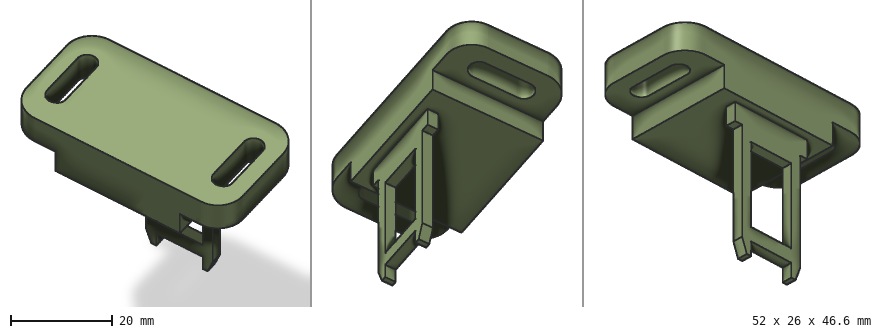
import cadquery as cq

plate_length = 52.0
plate_width = 26.0
plate_thickness = 6.65
corner_radius = 6.0

slot_length = 15.05
slot_width = 4.45
slot_offset = plate_length / 2 - corner_radius

block_length = 29.95
block_width = plate_width
block_height = 5.5

key_thickness = 2.5
key_center_y = 9.7
total_height = 46.6
shoulder_width = 19.95
shoulder_height = 4.5
key_width = 16.1
window_width = 11.15
window_height = 20.0
window_drop = 2.95
prong_length = 3.5
prong_taper = 1.3

plate_bottom = -plate_thickness
block_bottom = plate_bottom - block_height
shoulder_bottom = block_bottom - shoulder_height
window_top = shoulder_bottom - window_drop
key_bottom = -total_height
prong_top = key_bottom + prong_length


def make_plate():
    plate = (
        cq.Workplane("XY", origin=(0, 0, plate_bottom))
        .rect(plate_length, plate_width)
        .extrude(plate_thickness)
        .edges("|Z")
        .fillet(corner_radius)
    )
    slots = (
        cq.Workplane("XY", origin=(0, 0, plate_bottom))
        .pushPoints([(-slot_offset, 0), (slot_offset, 0)])
        .slot2D(slot_length, slot_width, 90)
        .extrude(plate_thickness)
    )
    return plate.cut(slots)


def make_block():
    return (
        cq.Workplane("XY", origin=(0, 0, block_bottom))
        .rect(block_length, block_width)
        .extrude(block_height)
    )


def make_key():
    right_half = [
        (shoulder_width / 2, block_bottom),
        (shoulder_width / 2, shoulder_bottom),
        (key_width / 2, shoulder_bottom),
        (key_width / 2, prong_top),
        (key_width / 2 - prong_taper, key_bottom),
        (window_width / 2, key_bottom),
        (window_width / 2, prong_top),
    ]
    left_half = [(-x, z) for x, z in reversed(right_half)]
    key_plane = cq.Workplane("XZ", origin=(0, key_center_y + key_thickness / 2, 0))
    key = key_plane.polyline(right_half + left_half).close().extrude(key_thickness)
    window = (
        key_plane.center(0, window_top - window_height / 2)
        .rect(window_width, window_height)
        .extrude(key_thickness)
    )
    return key.cut(window)


result = make_plate().union(make_block()).union(make_key())